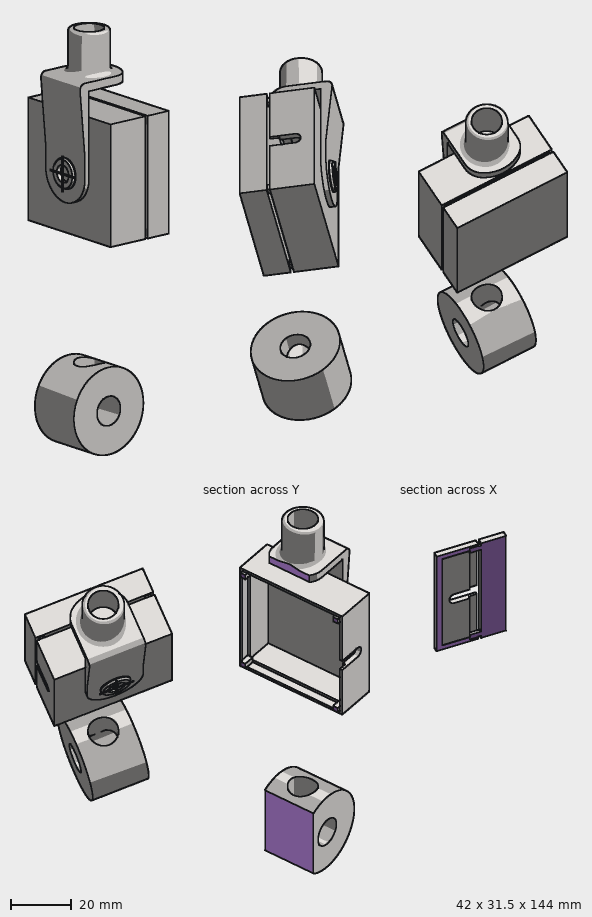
import cadquery as cq
import math

total_height = 144.0

roller_radius = 15.0
roller_bore_radius = 5.0
part_width = 20.0

block_size = 42.0
block_center_z = 96.0
cover_back_y = 16.5
cover_thickness = 9.0
cover_gap = 1.0
housing_depth = 15.0
wall = 2.0
rim_wall = 1.0
rim_depth = 3.0
peg_size = 2.0
side_slot_height = 3.9
side_slot_depth = 10.4
side_slot_corner = 1.9

cover_front_y = cover_back_y - cover_thickness
housing_back_y = cover_front_y - cover_gap
housing_front_y = housing_back_y - housing_depth

tube_length = 15.0
tube_diameter = 14.0
tube_bore_radius = 5.0
tube_rim_fillet = 1.0
tube_root_fillet = 2.0
root_margin = 0.1
plate_thickness = 3.0
plate_back_y = 10.7
plate_end_radius = 12.5
plate_corner_radius = 6.8
arm_thickness = 1.7
arm_top_thickness = 4.0
arm_bend_fillet = 2.0
arm_taper_height = 7.3

tube_radius = tube_diameter / 2
plate_top_z = total_height - tube_length
plate_bottom_z = plate_top_z - plate_thickness
arm_front_y = housing_front_y - arm_thickness
arm_top_front_y = housing_front_y - arm_top_thickness

head_height = 1.2
head_radius = 5.3
head_taper_height = 0.9
head_taper_inset = 0.5
head_recess_radius = 3.0
head_recess_depth = 1.7
cross_length = 12.1
cross_width = 0.5
cross_thickness = 0.1
head_front_y = arm_front_y - head_height


def box(x_size, z_size, front_y, back_y, x=0.0, z=block_center_z):
    """Block centred at x and z that runs from front_y to back_y."""
    return cq.Workplane("XY").box(x_size, back_y - front_y, z_size).translate((x, (front_y + back_y) / 2, z))


def disc(radius, front_y, back_y):
    """Cylinder along Y on the axis of the block."""
    plane = cq.Workplane("XZ", origin=(0, back_y, block_center_z))
    return plane.circle(radius).extrude(back_y - front_y)


def make_roller():
    """Wheel along X with a through bore, and a hole from its top that opens into the bore."""
    body = cq.Workplane("YZ").center(0, roller_radius).circle(roller_radius).circle(roller_bore_radius)
    body = body.extrude(part_width / 2, both=True)
    hole = cq.Workplane("XY", origin=(0, 0, roller_radius)).circle(roller_bore_radius).extrude(roller_radius)
    return body.cut(hole)


def make_housing():
    """Box open at the back, with a stepped rim and a slot in its -X wall."""
    cavity_size = block_size - 2 * wall
    rim_size = block_size - 2 * rim_wall
    body = box(block_size, block_size, housing_front_y, housing_back_y)
    body = body.cut(box(cavity_size, cavity_size, housing_front_y + wall, housing_back_y))
    body = body.cut(box(rim_size, rim_size, housing_back_y - rim_depth, housing_back_y))
    slot = box(2 * wall, side_slot_height, housing_back_y - side_slot_depth, housing_back_y, x=-block_size / 2)
    slot = slot.edges("|X and <Y").fillet(side_slot_corner)
    return body.cut(slot)


def make_cover():
    """Plate with four corner pegs that stand on the rim step of the housing."""
    body = box(block_size, block_size, cover_front_y, cover_back_y)
    peg_offset = block_size / 2 - rim_wall - peg_size / 2
    for x_side in (-1, 1):
        for z_side in (-1, 1):
            peg_z = block_center_z + z_side * peg_offset
            peg = box(peg_size, peg_size, housing_back_y - rim_depth, cover_front_y, x_side * peg_offset, peg_z)
            body = body.union(peg)
    return body


def make_bent_strip():
    """Arm and top plate: a side profile along X, trimmed to a front outline and a top outline."""
    half_width = part_width / 2
    arm_bottom_z = block_center_z - half_width
    side_profile = [
        (housing_front_y, arm_bottom_z),
        (arm_front_y, arm_bottom_z),
        (arm_front_y, block_center_z + arm_taper_height),
        (arm_top_front_y, plate_top_z),
        (plate_back_y, plate_top_z),
        (plate_back_y, plate_bottom_z),
        (housing_front_y, plate_bottom_z),
    ]
    strip = cq.Workplane("YZ").polyline(side_profile).close().extrude(half_width, both=True)
    strip = strip.edges("|X and >Z and <Y").fillet(arm_bend_fillet)

    front_outline = (
        cq.Workplane("XZ", origin=(0, plate_back_y, 0))
        .moveTo(-half_width, plate_top_z)
        .lineTo(-half_width, block_center_z)
        .threePointArc((0, arm_bottom_z), (half_width, block_center_z))
        .lineTo(half_width, plate_top_z)
        .close()
        .extrude(plate_back_y - arm_top_front_y)
    )

    end_arc_rise = plate_end_radius - math.sqrt(plate_end_radius**2 - half_width**2)
    corner_y = plate_back_y - end_arc_rise
    top_outline = (
        cq.Workplane("XY", origin=(0, 0, arm_bottom_z))
        .moveTo(-half_width, arm_top_front_y)
        .lineTo(-half_width, corner_y)
        .threePointArc((0, plate_back_y), (half_width, corner_y))
        .lineTo(half_width, arm_top_front_y)
        .close()
        .extrude(plate_top_z - arm_bottom_z)
        .edges("|Z")
        .edges(">Y")
        .fillet(plate_corner_radius)
    )
    return strip.intersect(front_outline).intersect(top_outline)


def make_bracket():
    """Bent strip with a bored tube on its plate and a screw head on its arm."""
    body = make_bent_strip()

    tube = cq.Workplane("XY", origin=(0, 0, plate_top_z)).circle(tube_radius).extrude(tube_length)
    body = body.union(tube)
    body = body.faces(">Z").edges().fillet(tube_rim_fillet)
    root_reach = tube_radius + root_margin
    root = cq.selectors.BoxSelector(
        (-root_reach, -root_reach, plate_top_z - root_margin),
        (root_reach, root_reach, plate_top_z + root_margin),
        boundingbox=True,
    )
    body = body.edges(root).fillet(tube_root_fillet)
    bore = cq.Workplane("XY", origin=(0, 0, plate_top_z)).circle(tube_bore_radius).extrude(tube_length)
    body = body.cut(bore)
    return add_screw_head(body)


def add_screw_head(body):
    """Tapered head on the arm with a round recess, bridged by a thin cross that overhangs the head."""
    head = disc(head_radius, head_front_y, arm_front_y)
    head = head.faces("<Y").edges().chamfer(head_taper_height, head_taper_inset)
    recess = disc(head_recess_radius, head_front_y, head_front_y + head_recess_depth)
    body = body.union(head).cut(recess)
    for x_size, z_size in ((cross_length, cross_width), (cross_width, cross_length)):
        body = body.union(box(x_size, z_size, head_front_y - cross_thickness, head_front_y))
    return body


roller = make_roller()
housing = make_housing()
cover = make_cover()
bracket = make_bracket()

result = cq.Compound.makeCompound([roller.val(), housing.val(), cover.val(), bracket.val()])